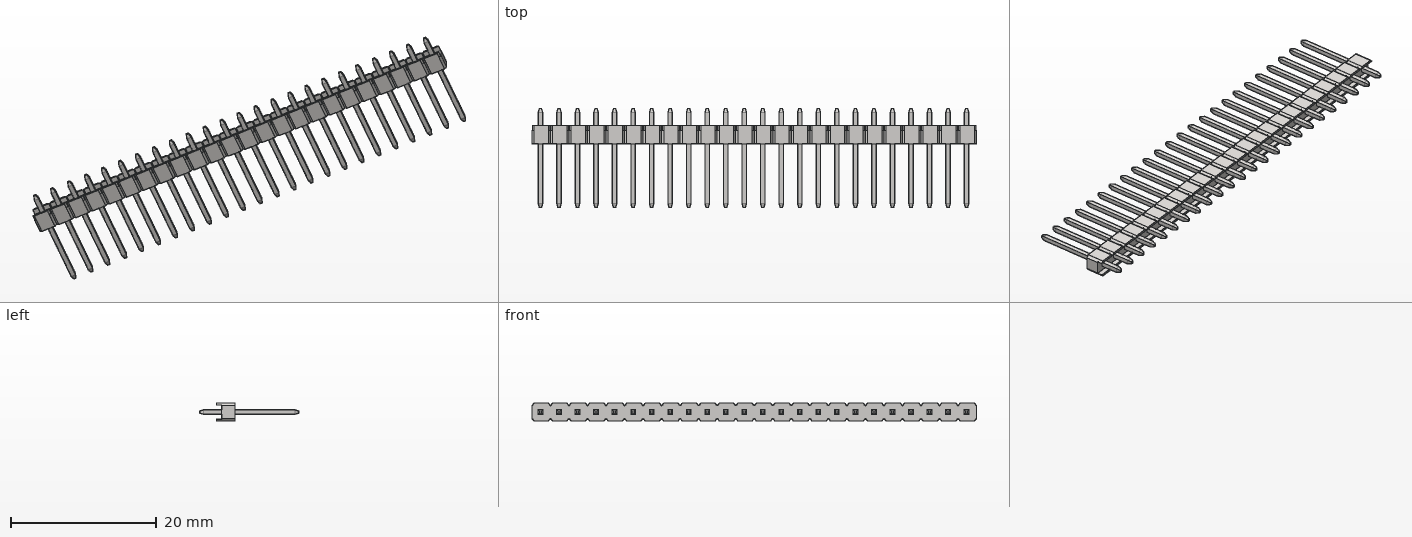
import cadquery as cq


pin_count = 24
pitch = 2.54
row_length = pin_count * pitch

cell_height = 2.5
cell_depth = 2.54
bevel_height = 0.37
bevel_width = 0.3

recess_depth = 0.7
lip_thickness = 0.3

pin_width = 0.64
pin_length = 13.6
tip_width = pin_width / 2
tip_length = 0.55
pin_front_reach = 8.75
pin_shift = 0.1
pin_offset = pitch / 2 - pin_shift

recess_floor = cell_depth - recess_depth
pin_front = -pin_front_reach
pin_back = pin_front + pin_length


def cell_left_x(index):
    """X position of the left side of a cell, counted from the -X end."""
    return -row_length / 2 + index * pitch


def box_between(size_x, size_z, y_start, y_end, x_center):
    """Box centred on Z = 0 that spans a range of Y."""
    return (
        cq.Workplane("XY")
        .box(size_x, y_end - y_start, size_z)
        .translate((x_center, (y_start + y_end) / 2, 0))
    )


def make_cell(index):
    """Block with its four long edges bevelled."""
    left = cell_left_x(index)
    right = left + pitch
    flat_left = left + bevel_width
    flat_right = right - bevel_width
    top = cell_height / 2
    shoulder = top - bevel_height
    outline = [
        (left, -shoulder),
        (flat_left, -top),
        (flat_right, -top),
        (right, -shoulder),
        (right, shoulder),
        (flat_right, top),
        (flat_left, top),
        (left, shoulder),
    ]
    return cq.Workplane("XZ").polyline(outline).close().extrude(-cell_depth)


def make_tip(x_center, y_base, y_end):
    """Square pyramid frustum that narrows from y_base to y_end."""
    return (
        cq.Workplane("XZ", origin=(x_center, y_base, 0))
        .rect(pin_width, pin_width)
        .workplane(offset=y_base - y_end)
        .rect(tip_width, tip_width)
        .loft()
    )


def make_pin(index):
    """Square pin with a tapered tip at each end."""
    x_center = cell_left_x(index) + pin_offset
    shank_front = pin_front + tip_length
    shank_back = pin_back - tip_length
    shank = box_between(pin_width, pin_width, shank_front, shank_back, x_center)
    front_tip = make_tip(x_center, shank_front, pin_front)
    back_tip = make_tip(x_center, shank_back, pin_back)
    return shank.union(front_tip).union(back_tip)


def make_housing():
    """Row of cells with the recess cut along the +Y face."""
    housing = make_cell(0)
    for index in range(1, pin_count):
        housing = housing.union(make_cell(index))
    recess_height = cell_height - 2 * lip_thickness
    recess = box_between(row_length, recess_height, recess_floor, cell_depth, 0)
    return housing.cut(recess)


result = make_housing()
for pin_index in range(pin_count):
    result = result.union(make_pin(pin_index))